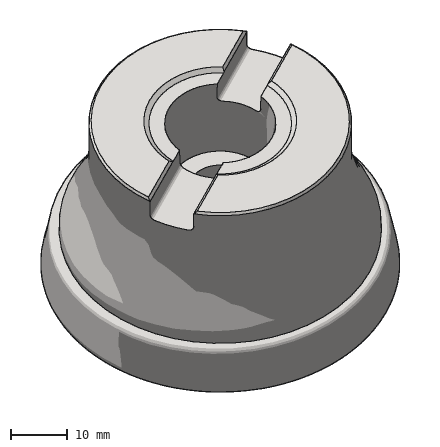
import cadquery as cq
import math

total_height = 38.1
pad_height = 11.0
through_hole_diameter = 11.0

pad_foot_radius = 24.0
pad_corner_radius = 31.98
pad_underside_angle = 10.5
pad_side_draft = 10.3
pad_top_rounding = 1.3
pad_bottom_rounding = 1.4

hub_base_radius = 57.0 / 2
hub_neck_radius = 46.45 / 2
base_band_height = 0.9
shoulder_radius = 4.9
shoulder_angle = 30.0
flare_start_angle = 8.0
flare_height = 13.3
neck_blend_height = 1.95
hub_rim_chamfer = 0.4

recess_diameter = 27.0
recess_floor_diameter = 25.2
recess_depth = 0.6
bore_top_diameter = 19.65
bore_draft = 3.0
bore_depth = 16.0
slot_width = 8.3
slot_depth = 4.7
slot_floor_fillet = 1.0
slot_edge_chamfer = 0.5


def revolve_profile(sketch):
    """Close a half profile drawn in the XZ plane and turn it around Z."""
    return sketch.close().revolve(360, (0, 0, 0), (0, 1, 0))


def through_hole():
    return cq.Workplane("XY").circle(through_hole_diameter / 2).extrude(total_height)


def make_pad():
    corner_z = (pad_corner_radius - pad_foot_radius) * math.tan(math.radians(pad_underside_angle))
    side_height = pad_height - corner_z
    top_radius = pad_corner_radius - side_height * math.tan(math.radians(pad_side_draft))
    body = revolve_profile(
        cq.Workplane("XZ")
        .moveTo(0, 0)
        .lineTo(pad_foot_radius, 0)
        .lineTo(pad_corner_radius, corner_z)
        .lineTo(top_radius, pad_height)
        .lineTo(0, pad_height)
    )
    body = body.faces(">Z").edges().fillet(pad_top_rounding)
    corner_edge = cq.selectors.RadiusNthSelector(-1)
    body = body.edges("%CIRCLE").edges(corner_edge).fillet(pad_bottom_rounding)
    return body.cut(through_hole())


def make_hub_blank():
    band_top = pad_height + base_band_height
    sweep = math.radians(shoulder_angle)
    shoulder_top = band_top + shoulder_radius * math.sin(sweep)
    shoulder_top_radius = hub_base_radius - shoulder_radius * (1 - math.cos(sweep))
    flare_top = shoulder_top + flare_height
    neck_bottom = flare_top + neck_blend_height
    blend_angle = math.radians(flare_start_angle)
    flare_top_radius = hub_neck_radius + neck_blend_height * math.tan(blend_angle / 2)
    blank = revolve_profile(
        cq.Workplane("XZ")
        .moveTo(0, pad_height)
        .lineTo(hub_base_radius, pad_height)
        .lineTo(hub_base_radius, band_top)
        .tangentArcPoint((shoulder_top_radius, shoulder_top), relative=False)
        .tangentArcPoint((flare_top_radius, flare_top), relative=False)
        .tangentArcPoint((hub_neck_radius, neck_bottom), relative=False)
        .lineTo(hub_neck_radius, total_height)
        .lineTo(0, total_height)
    )
    return blank.faces(">Z").edges().chamfer(hub_rim_chamfer)


def recess_and_bore():
    """Shallow dished recess with a drafted blind bore below it."""
    recess_floor = total_height - recess_depth
    bore_floor = recess_floor - bore_depth
    bore_top_radius = bore_top_diameter / 2
    bore_floor_radius = bore_top_radius - bore_depth * math.tan(math.radians(bore_draft))
    return revolve_profile(
        cq.Workplane("XZ")
        .moveTo(0, bore_floor)
        .lineTo(bore_floor_radius, bore_floor)
        .lineTo(bore_top_radius, recess_floor)
        .lineTo(recess_floor_diameter / 2, recess_floor)
        .lineTo(recess_diameter / 2, total_height)
        .lineTo(0, total_height)
    )


def cross_slot():
    """Slot along Y with a filleted floor and chamfered top edges."""
    length = 2 * hub_base_radius
    slot_floor = total_height - slot_depth
    channel = (
        cq.Workplane("XY", origin=(0, 0, slot_floor))
        .rect(slot_width, length)
        .extrude(slot_depth)
        .faces("<Z")
        .edges("|Y")
        .fillet(slot_floor_fillet)
    )
    half_width = slot_width / 2
    mouth_half_width = half_width + slot_edge_chamfer
    chamfer_bottom = total_height - slot_edge_chamfer
    mouth = (
        cq.Workplane("XZ", origin=(0, length / 2, 0))
        .polyline([
            (-half_width, chamfer_bottom),
            (half_width, chamfer_bottom),
            (mouth_half_width, total_height),
            (-mouth_half_width, total_height),
        ])
        .close()
        .extrude(length)
    )
    return channel.union(mouth)


def make_hub():
    hub = make_hub_blank()
    hub = hub.cut(recess_and_bore())
    hub = hub.cut(cross_slot())
    return hub.cut(through_hole())


pad = make_pad()
hub = make_hub()

result = cq.Compound.makeCompound([pad.val(), hub.val()])